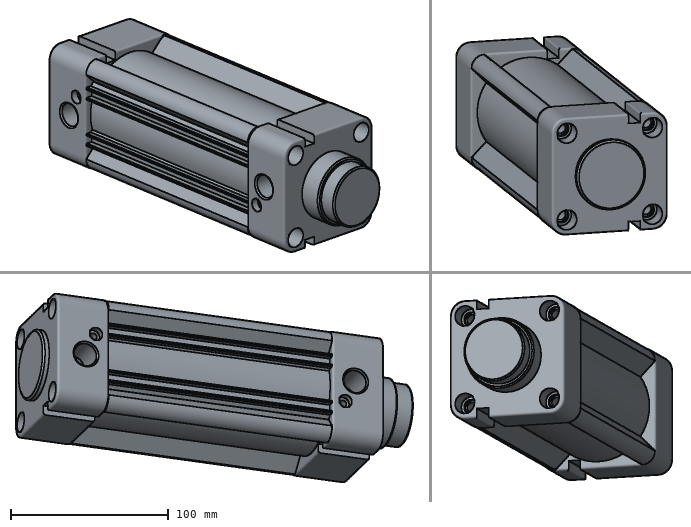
import cadquery as cq

total_length = 252.0
rear_boss_length = 4.0
cap_length = 34.8
body_length = 151.5
rear_cap_start = rear_boss_length
rear_cap_end = rear_cap_start + cap_length
front_cap_start = rear_cap_end + body_length
front_cap_end = front_cap_start + cap_length
collar_end = 240.5

cap_size = 76.0
cap_half = cap_size / 2
cap_corner_radius = 9.5
cap_edge_radius = 1.5

slot_inner_edge = 12.3
slot_outer_edge = 20.2
slot_floor = 32.0
slot_lip_radius = 1.0

body_half = 37.5
post_radius = 8.5
post_edge = body_half - post_radius
barrel_radius = 33.8
channel_depth = 11.0

rail_face = 37.3
rail_shoulder = 33.5
rail_core = 22.7
rail_bottom = 11.5
rail_top = 20.2
bottom_bevel = 1.5
top_bevel = 2.3
groove_bottom = 13.0
groove_top = 18.5
groove_depth = 4.5
lip_chamfer = 0.5

boss_radius = 22.7
tip_radius = 20.2
boss_chamfer = 1.3
collar_chamfer = 1.0
tip_chamfer = 1.0

mount_offset = 28.2
mount_hole_diameter = 6.8
mount_steps = [(12.9, 5.0), (9.3, 6.0)]

port_diameter = 15.0
port_mouth_diameter = 17.1
port_mouth_depth = 1.3
port_shift = 1.8
port_height = 3.5
needle_diameter = 4.8
needle_bore_diameter = 8.5
needle_bore_depth = 5.0
needle_shift = 8.5
needle_height = 11.0
chamber_radius = 14.0
chamber_length = 25.2


def rod(start, length, radius):
    """Cylinder on the X axis."""
    return cq.Workplane("YZ", origin=(start, 0, 0)).circle(radius).extrude(length)


def end_cap(start):
    """Rounded square cap with a rectangular slot in its top and bottom faces."""
    cap = cq.Workplane("YZ", origin=(start, 0, 0)).rect(cap_size, cap_size).extrude(cap_length)
    cap = cap.edges("|X").fillet(cap_corner_radius)
    cap = cap.faces("<X or >X").edges().fillet(cap_edge_radius)
    for side in (1, -1):
        slot = (
            cq.Workplane("YZ", origin=(start, 0, 0))
            .moveTo(-slot_inner_edge, side * slot_floor)
            .lineTo(-slot_inner_edge, side * cap_half)
            .lineTo(-slot_outer_edge - slot_lip_radius, side * cap_half)
            .radiusArc((-slot_outer_edge, side * (cap_half - slot_lip_radius)), side * slot_lip_radius)
            .lineTo(-slot_outer_edge, side * slot_floor)
            .close()
            .extrude(cap_length)
        )
        cap = cap.cut(slot)
    return cap


def channelled_body():
    """Square extrusion with rounded corner posts and a 45 degree channel on each side."""
    plane = cq.Workplane("YZ", origin=(rear_cap_end, 0, 0))
    block = plane.rect(2 * body_half, 2 * body_half).extrude(body_length)
    block = block.edges("|X").fillet(post_radius)
    channel = (
        plane.moveTo(-post_edge, body_half)
        .lineTo(post_edge, body_half)
        .lineTo(post_edge - channel_depth, body_half - channel_depth)
        .lineTo(channel_depth - post_edge, body_half - channel_depth)
        .close()
        .extrude(body_length)
    )
    for quarter in range(4):
        block = block.cut(channel.rotate((0, 0, 0), (1, 0, 0), 90 * quarter))
    return block.union(rod(rear_cap_end, body_length, barrel_radius))


def sensor_rail(side):
    """Grooved rail along the -Y face, above (side 1) or below (side -1) the axis."""
    groove_floor = rail_face - groove_depth
    lip_start = rail_face - lip_chamfer
    section = [
        (rail_core, rail_top + top_bevel),
        (rail_shoulder - top_bevel, rail_top + top_bevel),
        (rail_shoulder, rail_top),
        (lip_start, rail_top),
        (rail_face, rail_top - lip_chamfer),
        (rail_face, groove_top + lip_chamfer),
        (lip_start, groove_top),
        (groove_floor, groove_top),
        (groove_floor, groove_bottom),
        (lip_start, groove_bottom),
        (rail_face, groove_bottom - lip_chamfer),
        (rail_face, rail_bottom + lip_chamfer),
        (lip_start, rail_bottom),
        (rail_shoulder, rail_bottom),
        (rail_shoulder - bottom_bevel, rail_bottom - bottom_bevel),
        (rail_core, rail_bottom - bottom_bevel),
    ]
    points = [(-depth, side * height) for depth, height in section]
    return cq.Workplane("YZ", origin=(rear_cap_end, 0, 0)).polyline(points).close().extrude(body_length)


def nose():
    """Collar and narrower tip in front of the front cap."""
    collar = rod(front_cap_end, collar_end - front_cap_end, boss_radius)
    collar = collar.faces(">X").chamfer(collar_chamfer)
    tip = rod(collar_end, total_length - collar_end, tip_radius)
    tip = tip.faces(">X").chamfer(tip_chamfer)
    return collar.union(tip)


def mounting_holes():
    """Through holes at the four corners, counterbored and stepped from both ends."""

    def bores(start, length, diameter):
        plane = cq.Workplane("YZ", origin=(start, 0, 0))
        corners = plane.rect(2 * mount_offset, 2 * mount_offset, forConstruction=True).vertices()
        return corners.circle(diameter / 2).extrude(length)

    cutter = bores(rear_cap_start, front_cap_end - rear_cap_start, mount_hole_diameter)
    for face, inward in ((rear_cap_start, 2.5), (front_cap_end, -2.5)):
        for diameter, depth in mount_steps:
            cutter = cutter.union(bores(face, inward * depth, diameter))
    return cutter


def drill(x, z, diameter, depth):
    """Cylinder entering a cap from its -Y face."""
    return cq.Workplane("XZ", origin=(x, -cap_half, z)).circle(diameter / 2).extrude(-depth)


def cap_ports(start, turn):
    """Air port, needle hole and chamber of one cap; turn is 1 (rear) or -1 (front)."""
    middle = start + cap_length / 2
    port_x = middle + turn * port_shift
    port_z = -turn * port_height
    needle_x = middle + turn * needle_shift
    needle_z = turn * needle_height
    mouth = cq.Solid.makeCone(
        port_mouth_diameter / 2,
        port_diameter / 2,
        port_mouth_depth,
        cq.Vector(port_x, -cap_half, port_z),
        cq.Vector(0, 1, 0),
    )
    cutter = rod(middle - chamber_length / 2, chamber_length, chamber_radius)
    cutter = cutter.union(cq.Workplane(mouth))
    cutter = cutter.union(drill(port_x, port_z, port_diameter, cap_half))
    cutter = cutter.union(drill(needle_x, needle_z, needle_diameter, cap_half))
    return cutter.union(drill(needle_x, needle_z, needle_bore_diameter, needle_bore_depth))


result = channelled_body()
for side in (1, -1):
    result = result.union(sensor_rail(side))
result = result.union(end_cap(rear_cap_start)).union(end_cap(front_cap_start))
result = result.union(rod(0, rear_boss_length, boss_radius).faces("<X").chamfer(boss_chamfer))
result = result.union(nose())

result = result.cut(mounting_holes())
result = result.cut(cap_ports(rear_cap_start, 1)).cut(cap_ports(front_cap_start, -1))